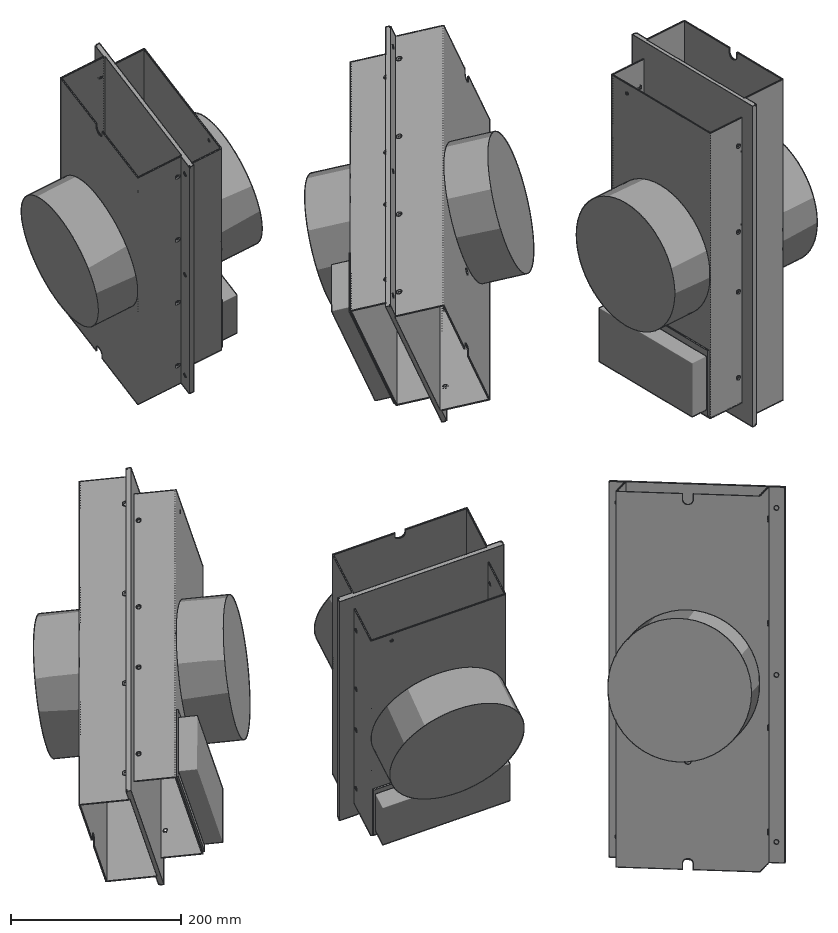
import cadquery as cq

TOTAL_DEPTH = 227.25
SHEET = 1.5
BEND_RADIUS = 1.0

PLATE_WIDTH = 210.0
PLATE_HEIGHT = 450.0
PLATE_THICKNESS = 4.75

DUCT_WIDTH = 172.5
FRONT_DUCT_DEPTH = 61.25
REAR_DUCT_DEPTH = 50.5
REAR_DUCT_HEIGHT = 400.0
FLANGE_CORNER_RADIUS = 2.0

PIPE_DIAMETER = 172.0
FRONT_PIPE_LENGTH = 54.5

FLANGE_HOLE_DIAMETER = 5.5
FLANGE_HOLE_SPACING = 190.0
FLANGE_HOLE_PITCH = 200.0
FRONT_SIDE_HOLE_DIAMETER = 4.0
FRONT_SIDE_SINK_DIAMETER = 7.0
FRONT_SIDE_HOLE_SETBACK = 4.25
FRONT_SIDE_HOLE_HEIGHTS = (62.5, 187.5)
REAR_SIDE_HOLE_DIAMETER = 4.0
REAR_SIDE_SINK_DIAMETER = 6.0
REAR_SIDE_HOLE_SETBACK = 5.5
REAR_SIDE_HOLE_HEIGHTS = (42.0, 162.5)
FRONT_WALL_HOLE_DIAMETER = 8.0
FRONT_WALL_HOLE_Z = -95.0
REAR_WALL_HOLE_DIAMETER = 4.0
REAR_WALL_HOLE_X = 59.5
REAR_WALL_HOLE_Z = 186.0

NOTCH_WIDTH = 13.0
NOTCH_DEPTH = 13.0

BASE_THICKNESS = 2.0
BASE_WIDTH = 168.0
BASE_BOTTOM = -198.0
BASE_TOP = -105.0
BOX_WIDTH = 163.0
BOX_BOTTOM = -190.0
BOX_TOP = -114.0
BOX_DEPTH = 24.5

FRONT_FACE_Y = -FRONT_DUCT_DEPTH
REAR_FACE_Y = PLATE_THICKNESS + REAR_DUCT_DEPTH
FRONT_END_Y = FRONT_FACE_Y - FRONT_PIPE_LENGTH
REAR_END_Y = FRONT_END_Y + TOTAL_DEPTH


def block(x_range, y_range, z_range):
    """Box spanning the given (low, high) ranges."""
    ranges = (x_range, y_range, z_range)
    size = [high - low for low, high in ranges]
    return cq.Workplane("XY").box(*size, centered=False).translate(tuple(low for low, _ in ranges))


def centred_block(width, y_range, height):
    """Box centred on the YZ plane and on mid-height."""
    return block((-width / 2, width / 2), y_range, (-height / 2, height / 2))


def cylinder_y(diameter, y_range, x=0.0, z=0.0):
    """Cylinder along Y."""
    low, high = y_range
    return cq.Workplane("XZ", origin=(x, low, z)).circle(diameter / 2).extrude(low - high)


def cross_hole(diameter, sink_diameter, y, z):
    """Cutter along X through both side walls of a duct, countersunk from outside."""
    half = DUCT_WIDTH / 2
    profile = [
        (0, 0),
        (0, diameter / 2),
        (half - SHEET, diameter / 2),
        (half, sink_diameter / 2),
        (half, 0),
    ]
    right = cq.Workplane("XY").polyline(profile).close().revolve(360, (0, 0, 0), (1, 0, 0))
    return right.union(right.mirror("YZ")).translate((0, y, z))


def make_plate():
    """Partition between the two ducts."""
    return centred_block(PLATE_WIDTH, (0, PLATE_THICKNESS), PLATE_HEIGHT)


def make_front_duct():
    """Hat-shaped sheet channel with side flanges lying on the plate."""
    duct = centred_block(DUCT_WIDTH, (FRONT_FACE_Y, 0), PLATE_HEIGHT).edges("<Y and |Z").fillet(BEND_RADIUS)
    flanges = centred_block(PLATE_WIDTH, (-SHEET, 0), PLATE_HEIGHT).edges("|Y").fillet(FLANGE_CORNER_RADIUS)
    duct = duct.union(flanges)
    duct = duct.cut(centred_block(DUCT_WIDTH - 2 * SHEET, (FRONT_FACE_Y + SHEET, 0), PLATE_HEIGHT))
    for x in (-FLANGE_HOLE_SPACING / 2, FLANGE_HOLE_SPACING / 2):
        for row in (-1, 0, 1):
            duct = duct.cut(cylinder_y(FLANGE_HOLE_DIAMETER, (-SHEET, 0), x, row * FLANGE_HOLE_PITCH))
    hole_y = -SHEET - FRONT_SIDE_HOLE_SETBACK
    for z in FRONT_SIDE_HOLE_HEIGHTS:
        for side in (-1, 1):
            duct = duct.cut(cross_hole(FRONT_SIDE_HOLE_DIAMETER, FRONT_SIDE_SINK_DIAMETER, hole_y, side * z))
    wall = (FRONT_FACE_Y, FRONT_FACE_Y + SHEET)
    duct = duct.cut(cylinder_y(FRONT_WALL_HOLE_DIAMETER, wall, 0, FRONT_WALL_HOLE_Z))
    centre_z = PLATE_HEIGHT / 2 - NOTCH_DEPTH + NOTCH_WIDTH / 2
    for side in (-1, 1):
        z_low, z_high = sorted((side * centre_z, side * PLATE_HEIGHT / 2))
        duct = duct.cut(block((-NOTCH_WIDTH / 2, NOTCH_WIDTH / 2), wall, (z_low, z_high)))
        duct = duct.cut(cylinder_y(NOTCH_WIDTH, wall, 0, side * centre_z))
    return duct


def make_rear_duct():
    """Sheet channel closing against the back of the plate."""
    duct = centred_block(DUCT_WIDTH, (PLATE_THICKNESS, REAR_FACE_Y), REAR_DUCT_HEIGHT)
    duct = duct.edges(">Y and |Z").fillet(BEND_RADIUS)
    inner = (PLATE_THICKNESS, REAR_FACE_Y - SHEET)
    duct = duct.cut(centred_block(DUCT_WIDTH - 2 * SHEET, inner, REAR_DUCT_HEIGHT))
    hole_y = PLATE_THICKNESS + REAR_SIDE_HOLE_SETBACK
    for z in REAR_SIDE_HOLE_HEIGHTS:
        for side in (-1, 1):
            duct = duct.cut(cross_hole(REAR_SIDE_HOLE_DIAMETER, REAR_SIDE_SINK_DIAMETER, hole_y, side * z))
    wall = (REAR_FACE_Y - SHEET, REAR_FACE_Y)
    return duct.cut(cylinder_y(REAR_WALL_HOLE_DIAMETER, wall, REAR_WALL_HOLE_X, REAR_WALL_HOLE_Z))


def make_pipes():
    """Closed round connections on the front and rear walls."""
    front = cylinder_y(PIPE_DIAMETER, (FRONT_END_Y, FRONT_FACE_Y))
    return front.union(cylinder_y(PIPE_DIAMETER, (REAR_FACE_Y, REAR_END_Y)))


def make_terminal_box():
    """Box with rounded outer edges on a base plate low on the rear wall."""
    base_back_y = REAR_FACE_Y + BASE_THICKNESS
    base = block((-BASE_WIDTH / 2, BASE_WIDTH / 2), (REAR_FACE_Y, base_back_y), (BASE_BOTTOM, BASE_TOP))
    box = block(
        (-BOX_WIDTH / 2, BOX_WIDTH / 2), (REAR_FACE_Y, REAR_FACE_Y + BOX_DEPTH), (BOX_BOTTOM, BOX_TOP)
    )
    box = box.edges("not <Y").fillet(BEND_RADIUS)
    return base.union(box)


result = make_plate()
for body in (make_front_duct(), make_rear_duct(), make_pipes(), make_terminal_box()):
    result = result.union(body)